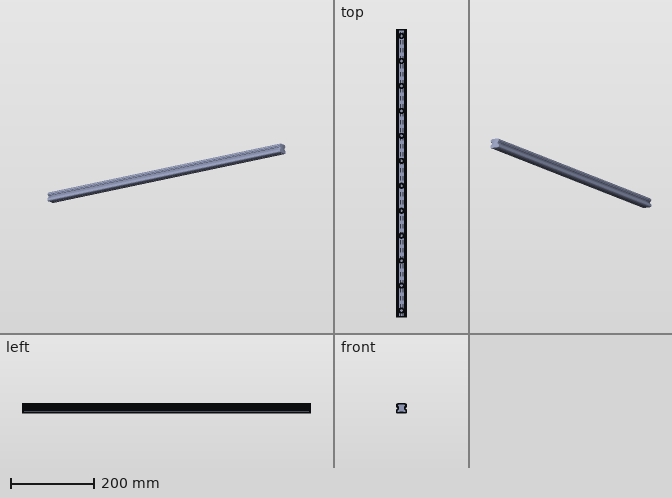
import cadquery as cq

LENGTH = 690.0
WIDTH = 23.0
HEIGHT = 22.0

BASE_CHAMFER = 1.5
BASE_SIDE_TOP = 6.3
WAIST_WIDTH = 16.4

RELIEF_WIDTH = 7.0
RELIEF_DEPTH = 0.4

HEAD_HEIGHT = 8.6
HEAD_SIDE_HEIGHT = 2.6
UPPER_STRIP_WIDTH = 0.9
UPPER_STRIP_DROP = 0.8
UPPER_GROOVE_RADIUS = 3.5
LOWER_STRIP_WIDTH = 2.1
LOWER_STRIP_RISE = 0.3
LOWER_GROOVE_RADIUS = 1.7

HOLE_PITCH = 60.0
HOLE_COUNT = 12
HOLE_DIAMETER = 11.0
CAP_RECESS = 0.1


def rail_body():
    """Waisted profile, symmetric about X = 0, extruded along Y."""
    half_width = WIDTH / 2
    half_waist = WAIST_WIDTH / 2
    half_relief = RELIEF_WIDTH / 2
    waist_bottom = BASE_SIDE_TOP + half_width - half_waist
    head_bottom = HEIGHT - HEAD_HEIGHT
    head_middle = HEIGHT - HEAD_HEIGHT / 2
    side_bottom = head_middle - HEAD_SIDE_HEIGHT / 2
    side_top = head_middle + HEAD_SIDE_HEIGHT / 2
    half_profile = (
        cq.Workplane("XZ")
        .moveTo(0, RELIEF_DEPTH)
        .lineTo(half_relief, RELIEF_DEPTH)
        .lineTo(half_relief, 0)
        .lineTo(half_width - BASE_CHAMFER, 0)
        .lineTo(half_width, BASE_CHAMFER)
        .lineTo(half_width, BASE_SIDE_TOP)
        .lineTo(half_waist, waist_bottom)
        .lineTo(half_waist, head_bottom)
        .lineTo(half_waist + LOWER_STRIP_WIDTH, head_bottom + LOWER_STRIP_RISE)
        .radiusArc((half_width, side_bottom), LOWER_GROOVE_RADIUS)
        .lineTo(half_width, side_top)
        .radiusArc((half_waist + UPPER_STRIP_WIDTH, HEIGHT - UPPER_STRIP_DROP), UPPER_GROOVE_RADIUS)
        .lineTo(half_waist, HEIGHT)
        .lineTo(0, HEIGHT)
        .close()
    )
    half_body = half_profile.extrude(LENGTH / 2, both=True)
    return half_body.mirror("YZ", union=True)


def sink_hole_caps(body):
    """Single centred row of shallow round recesses in the top face."""
    first_hole = -HOLE_PITCH * (HOLE_COUNT - 1) / 2
    centres = [(0, first_hole + i * HOLE_PITCH) for i in range(HOLE_COUNT)]
    recesses = (
        cq.Workplane("XY", origin=(0, 0, HEIGHT - CAP_RECESS))
        .pushPoints(centres)
        .circle(HOLE_DIAMETER / 2)
        .extrude(CAP_RECESS)
    )
    return body.cut(recesses)


result = sink_hole_caps(rail_body())